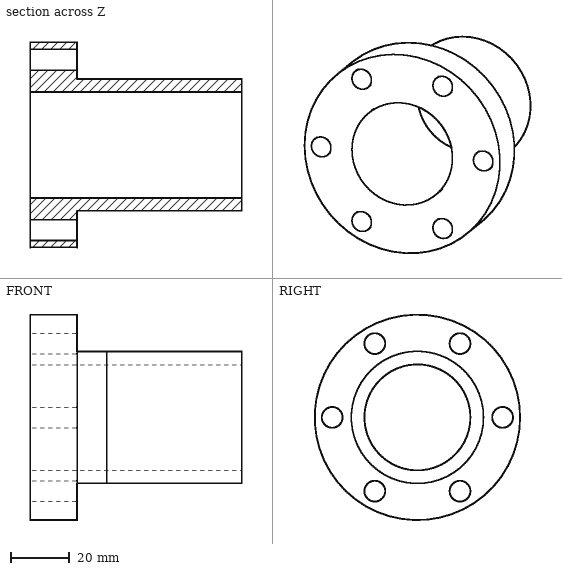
import cadquery as cq

total_length = 72.0
flange_diameter = 70.0
flange_thickness = 16.0
barrel_diameter = 45.0
neck_oversize = 0.01
neck_length = 10.0
bore_diameter = 36.0
bolt_hole_diameter = 7.0
bolt_circle_diameter = 58.0
bolt_hole_count = 6

neck_diameter = barrel_diameter + neck_oversize
barrel_start = flange_thickness + neck_length
barrel_length = total_length - barrel_start


def cylinder_along_x(diameter, start, length):
    """Solid cylinder centred on the X axis, beginning at X = start."""
    return cq.Workplane("YZ", origin=(start, 0, 0)).circle(diameter / 2).extrude(length)


def bolt_holes():
    """Cylinders for the ring of flange holes, the first one on the +Y axis."""
    return (
        cq.Workplane("YZ")
        .polarArray(bolt_circle_diameter / 2, 0, 360, bolt_hole_count)
        .circle(bolt_hole_diameter / 2)
        .extrude(flange_thickness)
    )


flange = cylinder_along_x(flange_diameter, 0, flange_thickness)
neck = cylinder_along_x(neck_diameter, flange_thickness, neck_length)
barrel = cylinder_along_x(barrel_diameter, barrel_start, barrel_length)
bore = cylinder_along_x(bore_diameter, 0, total_length)

result = flange.union(neck).union(barrel).cut(bore).cut(bolt_holes())